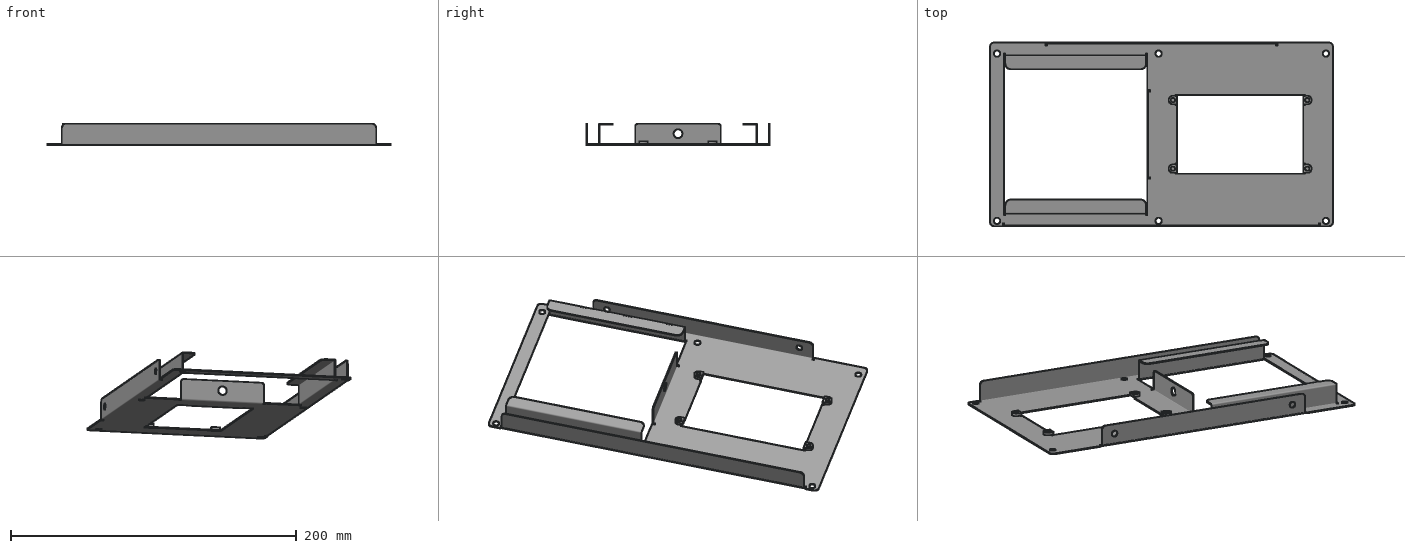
import cadquery as cq

plate_length = 240.0
plate_width = 128.6
sheet = 0.8
bend_outer_radius = 1.0
bend_inner_radius = bend_outer_radius - sheet
total_height = 15.0
plate_corner_radius = 3.0

mount_hole_diameter = 4.25
mount_hole_columns = (-115.0, -2.0, 115.0)
mount_hole_rows = (-60.5, 56.5)

bay_left = -110.0
bay_length = 100.0
bay_right = bay_left + bay_length
bay_width = 111.0
shelf_end_gap = 0.7
shelf_depth = 10.0
shelf_corner_radius = 4.0

tab_width = 60.0
tab_corner_radius = 2.0
tab_hole_diameter = 6.0
tab_hole_height = 8.0

front_flange_length = 220.0
back_flange_length = 160.0
flange_corner_radius = 3.0
flange_hole_diameter = 4.25
flange_hole_inset = 10.0
flange_hole_height = 8.0

relief_width = 1.0
relief_depth = 2.0

display_center_x = 55.0
display_length = 88.0
display_width = 55.0
seat_spacing_x = 94.0
seat_spacing_y = 48.0
seat_width = 6.0
seat_height = 2.0
seat_hole_diameter = 3.0
seat_notch_width = 7.0
seat_notch_depth = 1.2


def block(x_min, x_max, y_min, y_max, z_min, z_max):
    """Box given by its limits along each axis."""
    size = (x_max - x_min, y_max - y_min, z_max - z_min)
    return cq.Workplane("XY").box(*size, centered=False).translate((x_min, y_min, z_min))


def relief_slits(end_positions, edge, inward):
    """Slits at both ends of a bend along X, starting at Y = edge and running towards inward (+1 or -1)."""
    y_limits = sorted((edge, edge + inward * relief_depth))
    first, last = end_positions
    left_slit = block(first - relief_width, first, *y_limits, 0, sheet)
    right_slit = block(last, last + relief_width, *y_limits, 0, sheet)
    return left_slit.union(right_slit)


def base_plate():
    plate = cq.Workplane("XY").rect(plate_length, plate_width).extrude(sheet)
    plate = plate.edges("|Z").fillet(plate_corner_radius)
    hole_points = [(x, y) for x in mount_hole_columns for y in mount_hole_rows]
    holes = cq.Workplane("XY").pushPoints(hole_points).circle(mount_hole_diameter / 2).extrude(sheet)
    bay = block(bay_left, bay_right, -bay_width / 2, bay_width / 2, 0, sheet)
    return plate.cut(holes).cut(bay)


def edge_flange(length, side):
    """Upright flange on the front (side = -1) or back (side = +1) edge of the plate."""
    edge = side * plate_width / 2
    y_limits = sorted((edge, edge - side * sheet))
    flange = block(-length / 2, length / 2, *y_limits, 0, total_height)
    return flange.edges("|Y and >Z").fillet(flange_corner_radius)


def back_flange_holes():
    offset = back_flange_length / 2 - flange_hole_inset
    points = [(-offset, flange_hole_height), (offset, flange_hole_height)]
    drill = cq.Workplane("XZ", origin=(0, plate_width / 2, 0)).pushPoints(points)
    return drill.circle(flange_hole_diameter / 2).extrude(sheet)


def bay_shelf(side):
    """Wall with an inward shelf on top, on the long side of the bay at -Y (side = -1) or +Y (side = +1)."""
    edge = side * bay_width / 2
    x_limits = (bay_left + shelf_end_gap, bay_right - shelf_end_gap)
    wall = block(*x_limits, *sorted((edge, edge - side * sheet)), 0, total_height)
    shelf_limits = sorted((edge, edge - side * shelf_depth))
    shelf = block(*x_limits, *shelf_limits, total_height - sheet, total_height)
    free_corners = "|Z and <Y" if side > 0 else "|Z and >Y"
    shelf = shelf.edges(free_corners).fillet(shelf_corner_radius)
    return wall.union(shelf)


def bay_tab():
    tab = block(bay_right, bay_right + sheet, -tab_width / 2, tab_width / 2, 0, total_height)
    tab = tab.edges("|X and >Z").fillet(tab_corner_radius)
    hole = cq.Workplane("YZ", origin=(bay_right, 0, tab_hole_height))
    return tab.cut(hole.circle(tab_hole_diameter / 2).extrude(sheet))


def tab_reliefs():
    half = tab_width / 2
    upper = block(bay_right, bay_right + relief_depth, half, half + relief_width, 0, sheet)
    return upper.union(upper.mirror("XZ"))


def shelf_reliefs(side):
    """Small slits that carry the gaps at the ends of a shelf wall past its bend."""
    edge = side * bay_width / 2
    y_limits = sorted((edge, edge + side * relief_width))
    left = block(bay_left, bay_left + shelf_end_gap, *y_limits, 0, sheet)
    right = block(bay_right - shelf_end_gap, bay_right, *y_limits, 0, sheet)
    return left.union(right)


def display_window():
    """Display opening, notched under the straight end of each screw seat."""
    window = cq.Workplane("XY").rect(display_length, display_width).extrude(sheet)
    notched_length = display_length + 2 * seat_notch_depth
    notches = cq.Workplane("XY").rarray(1, seat_spacing_y, 1, 2).rect(notched_length, seat_notch_width)
    window = window.union(notches.extrude(sheet))
    return window.translate((display_center_x, 0, 0))


def screw_seat(side):
    """Raised pad with a screw hole; its rounded end points away from the display window."""
    reach = (seat_spacing_x - display_length) / 2
    pad = cq.Workplane("XY").circle(seat_width / 2).extrude(seat_height)
    pad = pad.union(block(0, reach, -seat_width / 2, seat_width / 2, 0, seat_height))
    pad = pad.cut(cq.Workplane("XY").circle(seat_hole_diameter / 2).extrude(seat_height))
    return pad if side < 0 else pad.mirror("YZ")


def add_screw_seats(body):
    for x_side in (-1, 1):
        for y_side in (-1, 1):
            x = display_center_x + x_side * seat_spacing_x / 2
            y = y_side * seat_spacing_y / 2
            body = body.union(screw_seat(x_side).translate((x, y, sheet)))
    return body


def round_bend(body, outer_edge_middle, inner_edge_middle):
    """Round both sides of a sheet bend, each picked by the middle of its sharp edge."""
    body = body.edges(cq.NearestToPointSelector(outer_edge_middle)).fillet(bend_outer_radius)
    return body.edges(cq.NearestToPointSelector(inner_edge_middle)).fillet(bend_inner_radius)


def round_all_bends(body):
    bay_middle = (bay_left + bay_right) / 2
    underside = total_height - sheet
    for side in (-1, 1):
        flange_outer = side * plate_width / 2
        flange_inner = flange_outer - side * sheet
        body = round_bend(body, (0, flange_outer, 0), (0, flange_inner, sheet))
        wall_outer = side * bay_width / 2
        wall_inner = wall_outer - side * sheet
        body = round_bend(body, (bay_middle, wall_inner, 0), (bay_middle, wall_outer, sheet))
        body = round_bend(body, (bay_middle, wall_outer, total_height), (bay_middle, wall_inner, underside))
    return round_bend(body, (bay_right, 0, 0), (bay_right + sheet, 0, sheet))


result = base_plate().cut(display_window()).cut(tab_reliefs())
for flange_length, flange_side in ((front_flange_length, -1), (back_flange_length, 1)):
    flange_ends = (-flange_length / 2, flange_length / 2)
    plate_edge = flange_side * plate_width / 2
    result = result.cut(relief_slits(flange_ends, plate_edge, -flange_side))
    result = result.union(edge_flange(flange_length, flange_side))
for shelf_side in (-1, 1):
    result = result.cut(shelf_reliefs(shelf_side)).union(bay_shelf(shelf_side))
result = round_all_bends(result.union(bay_tab()))
result = add_screw_seats(result.cut(back_flange_holes()))